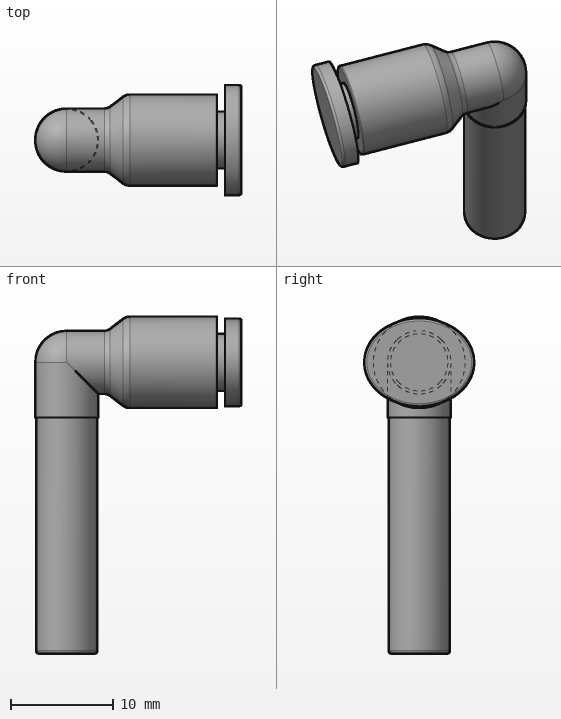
import cadquery as cq


elbow_radius = 3.1
elbow_leg_length = 5.4
stem_radius = 3.0
stem_end_radius = 0.3

body_radius = 4.5
cone_start = 4.0
cone_end = 5.8
body_end = 14.72
cone_root_fillet = 0.9
cone_crest_fillet = 1.05
body_end_fillet = 0.1

collar_neck_radius = 2.8
flange_start = 15.48
flange_width = 10.8
flange_height = 8.6
flange_edge_fillet = 0.25

overall_length = 20.2
overall_height = 33.0
flange_end = overall_length - elbow_radius
stem_length = overall_height - body_radius


def make_elbow():
    """Round corner joining a vertical leg and a horizontal leg."""
    corner = cq.Workplane("XY").sphere(elbow_radius)
    vertical_leg = cq.Workplane("XY").circle(elbow_radius).extrude(-elbow_leg_length)
    horizontal_leg = cq.Workplane("YZ").circle(elbow_radius).extrude(cone_start)
    return vertical_leg.union(horizontal_leg).union(corner)


def make_stem():
    """Plug-in stem with a rounded lower edge."""
    stem = cq.Workplane("XY").circle(stem_radius).extrude(-stem_length)
    return stem.faces("<Z").edges().fillet(stem_end_radius)


def make_socket():
    """Revolved neck, cone and body, blended at both ends of the cone."""
    profile = [
        (0, 0),
        (0, elbow_radius),
        (cone_start, elbow_radius),
        (cone_end, body_radius),
        (body_end, body_radius),
        (body_end, 0),
    ]
    socket = cq.Workplane("XZ").polyline(profile).close().revolve(360, (0, 0), (1, 0))
    blends = [
        (cone_start, cone_root_fillet),
        (cone_end, cone_crest_fillet),
        (body_end, body_end_fillet),
    ]
    for position, fillet in blends:
        edge = cq.selectors.NearestToPointSelector((position, 0, 0))
        socket = socket.edges("%CIRCLE").edges(edge).fillet(fillet)
    return socket


def make_collar():
    """Short round neck carrying an elliptical flange."""
    neck = cq.Workplane("YZ").workplane(offset=body_end)
    neck = neck.circle(collar_neck_radius).extrude(flange_start - body_end)
    flange = cq.Workplane("YZ").workplane(offset=flange_start)
    flange = flange.ellipse(flange_width / 2, flange_height / 2).extrude(flange_end - flange_start)
    flange = flange.faces(">X").edges().fillet(flange_edge_fillet)
    return neck.union(flange)


result = make_elbow().union(make_stem()).union(make_socket()).union(make_collar())